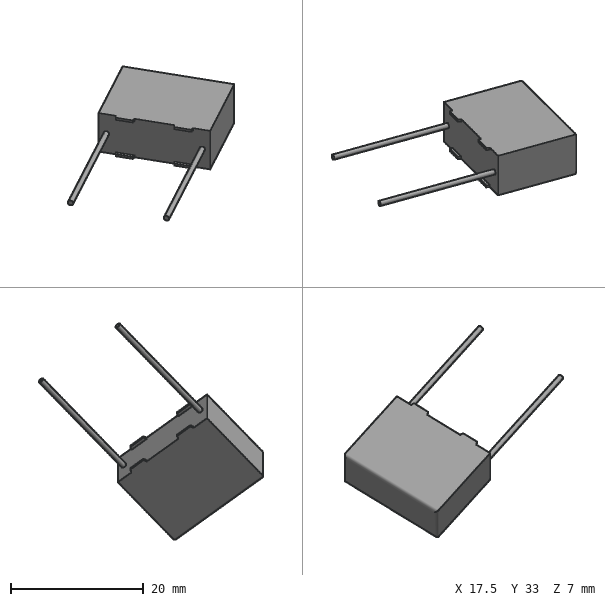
import cadquery as cq


total_length = 33.0
width = 17.5
thickness = 7.0

housing_length = 13.5
back_edge_radius = 0.5

tab_spacing = 9.17
tab_base_width = 2.97
tab_tip_width = 2.65
tab_height = 0.5
tab_thickness = 0.4

lead_diameter = 0.85
lead_spacing = 15.0
lead_length = total_length - housing_length


def make_tab(x_center, z_bottom):
    """Standoff tab, narrowing from the lead face to its tip."""
    outline = [
        (x_center - tab_base_width / 2, 0),
        (x_center - tab_tip_width / 2, -tab_height),
        (x_center + tab_tip_width / 2, -tab_height),
        (x_center + tab_base_width / 2, 0),
    ]
    return cq.Workplane("XY", origin=(0, 0, z_bottom)).polyline(outline).close().extrude(tab_thickness)


def make_housing():
    """Box with a rounded rim at the back and four tabs on the lead face."""
    housing = (
        cq.Workplane("XY")
        .box(width, housing_length, thickness, centered=(True, False, True))
        .faces(">Y")
        .edges()
        .fillet(back_edge_radius)
    )
    for x_center in (-tab_spacing / 2, tab_spacing / 2):
        for z_bottom in (-thickness / 2, thickness / 2 - tab_thickness):
            housing = housing.union(make_tab(x_center, z_bottom))
    return housing


def make_lead(x_center):
    """Round wire that starts flush on the lead face."""
    return cq.Workplane("XZ", origin=(x_center, 0, 0)).circle(lead_diameter / 2).extrude(lead_length)


housing = make_housing()
leads = [make_lead(x_center) for x_center in (-lead_spacing / 2, lead_spacing / 2)]

result = cq.Compound.makeCompound([housing.val(), *[lead.val() for lead in leads]])